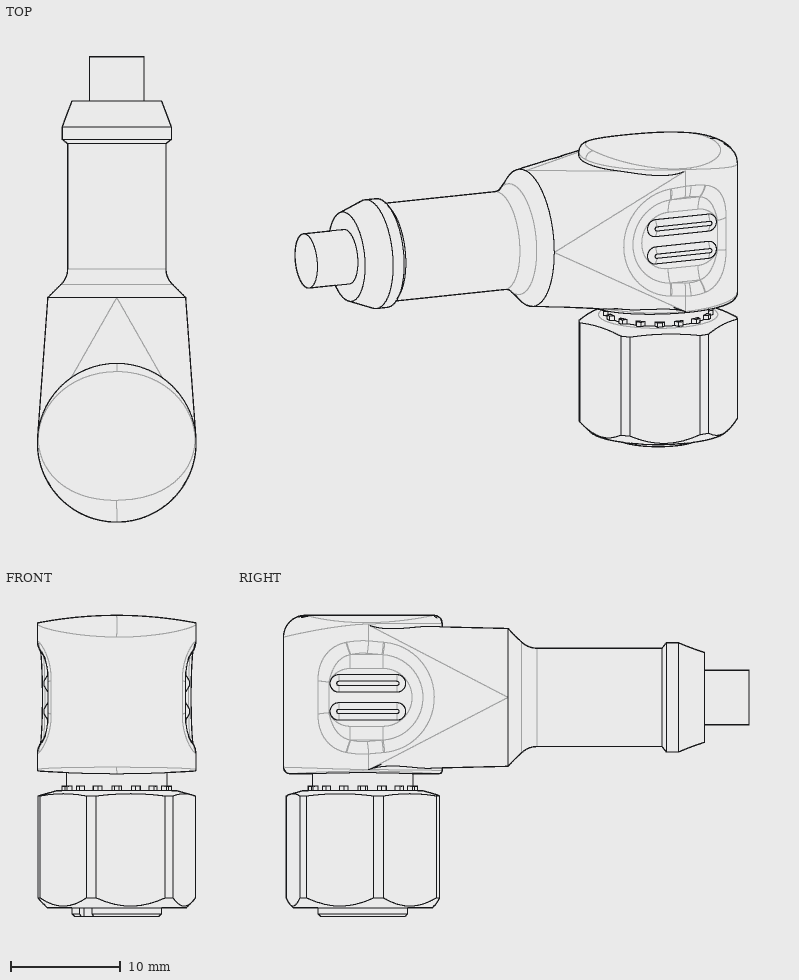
import cadquery as cq
import math


head_radius = 7.25
head_top = 7.5
head_bottom = -6.97
top_crown = 0.7
bottom_crown = 0.25
top_rounding = {"side": 0.15, "front": 2.0, "back": 0.75}
bottom_rounding = {"side": 0.15, "front": 0.6, "back": 0.3}

neck_radius = 6.3
neck_end = 13.25
neck_half_height = 6.6
neck_start = 0.54

cable_end = 35.25
cable_radius = 2.5
collar_end = 31.2
collar_tip_radius = 4.1
collar_radius = 5.0
collar_cone_end = 28.8
collar_start = 27.7
collar_edge = 0.4
sleeve_radius = 4.5
flare_radius = 2.0
flare_angle = 45

recess_floor = 6.29
recess_depth = 2.0
recess_front = -4.0
recess_back = 5.2
recess_half_height = 3.35
recess_front_corner = 2.85
recess_wall_slope = 51
recess_floor_rounding = 2.0
recess_rim_rounding = 1.8
rim_band = 0.3
rim_half_length = 0.5
rim_lowest = 4.35
rim_highest = 6.0

ridge_length = 6.9
ridge_width = 1.6
ridge_height = 0.35
ridge_taper = 60
ridge_y = 0.46
ridge_z = 1.28

stem_radius = 4.6
nut_top = -8.5
nut_bottom = -19.2
nut_flats = 13.0
nut_corner_radius = 7.25
nut_turn = 11.3
nut_top_radius = 5.45
nut_top_shoulder = -9.0
nut_bottom_bevel = 0.9
tooth_count = 16
tooth_top = -8.1
tooth_tip_radius = 5.0
tooth_base = 0.85
tooth_tip = 0.45
insert_radius = 4.1
insert_bottom = -20.0
insert_bevel = 0.25
key_width = 1.6
key_floor = 3.4
key_angle = -135


def round_rim(solid, z_side, rounding):
    """Round the rim of the head with a radius that changes around it."""
    rim = [e for e in solid.Edges() if e.geomType() != "LINE" and e.Center().z * z_side > 0]
    fillet = cq.occ_impl.shapes.BRepFilletAPI_MakeFillet(solid.wrapped)
    fillet.Add(rim[0].wrapped)
    for edge in rim:
        for corner in edge.Vertices():
            if abs(corner.Y) < head_radius / 2:
                radius = rounding["side"]
            elif corner.Y < 0:
                radius = rounding["front"]
            else:
                radius = rounding["back"]
            fillet.SetRadius(radius, 1, corner.wrapped)
    return cq.Shape.cast(fillet.Shape())


def make_head():
    """Upright round column in four quarters, with crowned ends and rounded rims."""
    r = head_radius
    diagonal = r * math.sqrt(0.5)
    column = (
        cq.Workplane("XY", origin=(0, 0, 2 * head_bottom))
        .moveTo(r, 0)
        .threePointArc((diagonal, diagonal), (0, r))
        .threePointArc((-diagonal, diagonal), (-r, 0))
        .threePointArc((-diagonal, -diagonal), (0, -r))
        .threePointArc((diagonal, -diagonal), (r, 0))
        .close()
        .extrude(4 * head_top, clean=False)
    )
    crowns = (
        cq.Workplane("XZ")
        .moveTo(-r, head_bottom + bottom_crown)
        .threePointArc((0, head_bottom), (r, head_bottom + bottom_crown))
        .lineTo(r, head_top - top_crown)
        .threePointArc((0, head_top), (-r, head_top - top_crown))
        .close()
        .extrude(2 * r, both=True)
    )
    solid = column.intersect(crowns, clean=False).val()
    solid = solid.Solids()[0]
    solid = round_rim(solid, 1, top_rounding)
    solid = round_rim(solid, -1, bottom_rounding)
    return cq.Workplane(obj=solid.Solids()[0])


def polygon_face(*points):
    return cq.Face.makeFromWires(cq.Wire.makePolygon(points, close=True))


def neck_circle_point(degrees):
    angle = math.radians(degrees)
    return cq.Vector(neck_radius * math.cos(angle), neck_end, neck_radius * math.sin(angle))


def make_neck():
    """Round sleeve end blended into the rectangle where the neck sides are tangent to the head."""
    half_width = math.sqrt(head_radius**2 - neck_start**2)
    corners = [
        cq.Vector(sx * half_width, neck_start, sz * neck_half_height)
        for sx, sz in ((1, 1), (-1, 1), (-1, -1), (1, -1))
    ]
    arcs = [
        cq.Edge.makeThreePointArc(*[neck_circle_point(start + turn) for turn in (0, 45, 90)])
        for start in (0, 90, 180, 270)
    ]
    faces = [polygon_face(*corners), cq.Face.makeFromWires(cq.Wire.assembleEdges(arcs))]
    for i in range(4):
        faces.append(polygon_face(corners[i - 1], corners[i], arcs[i].startPoint()))
        tip = cq.Vertex.makeVertex(*corners[i].toTuple())
        faces += cq.occ_impl.shapes.loft(arcs[i], tip, ruled=True).Faces()
    shell = cq.occ_impl.shapes.shell(*faces)
    return cq.Workplane(obj=cq.occ_impl.shapes.solid(shell))


def make_sleeve():
    """Cable stub, collar, sleeve and flare, turned about the cable axis."""
    slope = math.radians(flare_angle)
    arc_run = flare_radius * math.sin(slope)
    arc_rise = flare_radius * (1 - math.cos(slope))
    half_run = flare_radius * math.sin(slope / 2)
    half_rise = flare_radius * (1 - math.cos(slope / 2))
    cone_radius = sleeve_radius + arc_rise
    cone_y = neck_end + (neck_radius - cone_radius) / math.tan(slope)
    arc_end = cone_y + arc_run
    return (
        cq.Workplane("XY")
        .moveTo(0, neck_end)
        .lineTo(neck_radius, neck_end)
        .lineTo(cone_radius, cone_y)
        .threePointArc((sleeve_radius + half_rise, arc_end - half_run), (sleeve_radius, arc_end))
        .lineTo(sleeve_radius, collar_start - collar_edge)
        .lineTo(collar_radius, collar_start)
        .lineTo(collar_radius, collar_cone_end)
        .lineTo(collar_tip_radius, collar_end)
        .lineTo(cable_radius, collar_end)
        .lineTo(cable_radius, cable_end)
        .lineTo(0, cable_end)
        .close()
        .revolve(360, (0, 0, 0), (0, 1, 0))
    )


def recess_workplane(side):
    return cq.Workplane(
        cq.Plane(origin=(side * recess_floor, 0, 0), xDir=(0, 1, 0), normal=(side, 0, 0))
    )


def make_recess(side):
    """Cutter for one finger recess: sloping walls with a rounded floor edge."""
    h = recess_half_height
    c = recess_front_corner
    inset = c * (1 - math.sqrt(0.5))
    back_center = recess_back - h
    return (
        recess_workplane(side)
        .moveTo(back_center, h)
        .lineTo(recess_front + c, h)
        .threePointArc((recess_front + inset, h - inset), (recess_front, h - c))
        .lineTo(recess_front, c - h)
        .threePointArc((recess_front + inset, inset - h), (recess_front + c, -h))
        .lineTo(back_center, -h)
        .threePointArc((recess_back, 0), (back_center, h))
        .close()
        .extrude(recess_depth, taper=-recess_wall_slope)
        .faces("<X" if side > 0 else ">X")
        .edges()
        .fillet(recess_floor_rounding)
    )


def recess_rim(side):
    """Selector for the upper stretch of a recess rim, where it crosses the head."""
    return cq.selectors.BoxSelector(
        (side * (head_radius - rim_band), -rim_half_length, rim_lowest),
        (side * (head_radius + rim_band), rim_half_length, rim_highest),
    )


def make_ridges(side):
    """Two parallel grip ridges with sloping sides on a recess floor."""
    return (
        recess_workplane(side)
        .pushPoints([(ridge_y, ridge_z), (ridge_y, -ridge_z)])
        .slot2D(ridge_length, ridge_width)
        .extrude(ridge_height, taper=ridge_taper)
    )


def make_body():
    """Head and neck with a rounded, ridged finger recess on both sides.

    The joints are left unmerged so that no closing seam of the head runs through a recess.
    """
    body = make_head().union(make_neck(), clean=False)
    for side in (-1, 1):
        body = body.cut(make_recess(side), clean=False)
    for side in (-1, 1):
        body = body.edges(recess_rim(side)).fillet(recess_rim_rounding)
    for side in (-1, 1):
        body = body.union(make_ridges(side), clean=False)
    return body


def make_nut():
    """Hexagon with its corners and its top and bottom edges trimmed by a turned envelope."""
    hexagon = (
        cq.Workplane("XY", origin=(0, 0, nut_bottom))
        .transformed(rotate=(0, 0, nut_turn))
        .polygon(6, nut_flats / math.cos(math.pi / 6))
        .extrude(nut_top - nut_bottom)
    )
    envelope = (
        cq.Workplane("XZ")
        .moveTo(0, nut_bottom)
        .lineTo(nut_corner_radius - nut_bottom_bevel, nut_bottom)
        .lineTo(nut_corner_radius, nut_bottom + nut_bottom_bevel)
        .lineTo(nut_corner_radius, nut_top_shoulder)
        .lineTo(nut_top_radius, nut_top)
        .lineTo(0, nut_top)
        .close()
        .revolve(360, (0, 0, 0), (0, 1, 0))
    )
    return hexagon.intersect(envelope)


def make_stem():
    """Stem between nut and head, with the ring of locking teeth on top of the nut."""
    stem = cq.Workplane("XY", origin=(0, 0, nut_top)).circle(stem_radius).extrude(-nut_top)
    root = math.sqrt(stem_radius**2 - (tooth_base / 2) ** 2)
    tooth = (
        cq.Workplane("XY", origin=(0, 0, nut_top))
        .moveTo(0, -tooth_base / 2)
        .lineTo(root, -tooth_base / 2)
        .lineTo(tooth_tip_radius, -tooth_tip / 2)
        .lineTo(tooth_tip_radius, tooth_tip / 2)
        .lineTo(root, tooth_base / 2)
        .lineTo(0, tooth_base / 2)
        .close()
        .extrude(tooth_top - nut_top)
    )
    for i in range(tooth_count):
        stem = stem.union(tooth.rotate((0, 0, 0), (0, 0, 1), 360 / tooth_count * i - 90))
    return stem


def make_insert():
    """Contact insert below the nut, with a keyway down its side."""
    height = nut_bottom - insert_bottom
    insert = (
        cq.Workplane("XY", origin=(0, 0, insert_bottom))
        .circle(insert_radius)
        .extrude(height)
        .faces("<Z")
        .chamfer(insert_bevel)
    )
    keyway = (
        cq.Workplane("XY", origin=(0, 0, insert_bottom))
        .center(key_floor + insert_radius / 2, 0)
        .rect(insert_radius, key_width)
        .extrude(height)
        .rotate((0, 0, 0), (0, 0, 1), key_angle)
    )
    return insert.cut(keyway)


result = make_body()
for component in (make_sleeve(), make_stem(), make_nut(), make_insert()):
    result = result.union(component, clean=False)